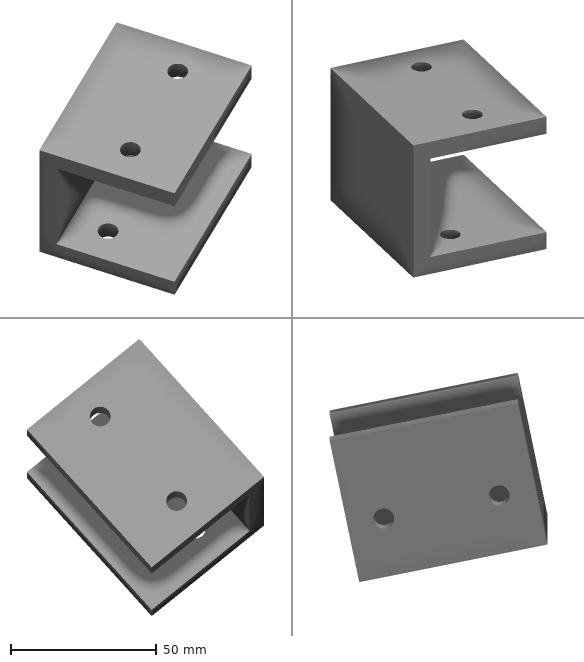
import cadquery as cq

length = 66.05
side = 50.8
wall = 6.5

hole_diameter = 7.1
hole_spacing = 40.5
upper_hole_x = 28.6
lower_hole_x = 20.2


def flange_holes(x, bottom_z):
    """Cutters for the pair of holes in the flange that starts at bottom_z."""
    return (
        cq.Workplane("XY", origin=(x, 0, bottom_z))
        .rarray(0.65, hole_spacing, 1, 2)
        .circle(hole_diameter / 2)
        .extrude(wall)
    )


outer = cq.Workplane("XY").box(side, length, side, centered=(False, True, False))
opening = (
    cq.Workplane("XY", origin=(wall, 0, wall))
    .box(side - wall, length, side - 2 * wall, centered=(False, True, False))
)
channel = outer.cut(opening)

result = (
    channel
    .cut(flange_holes(upper_hole_x, side - wall))
    .cut(flange_holes(lower_hole_x, 0))
)